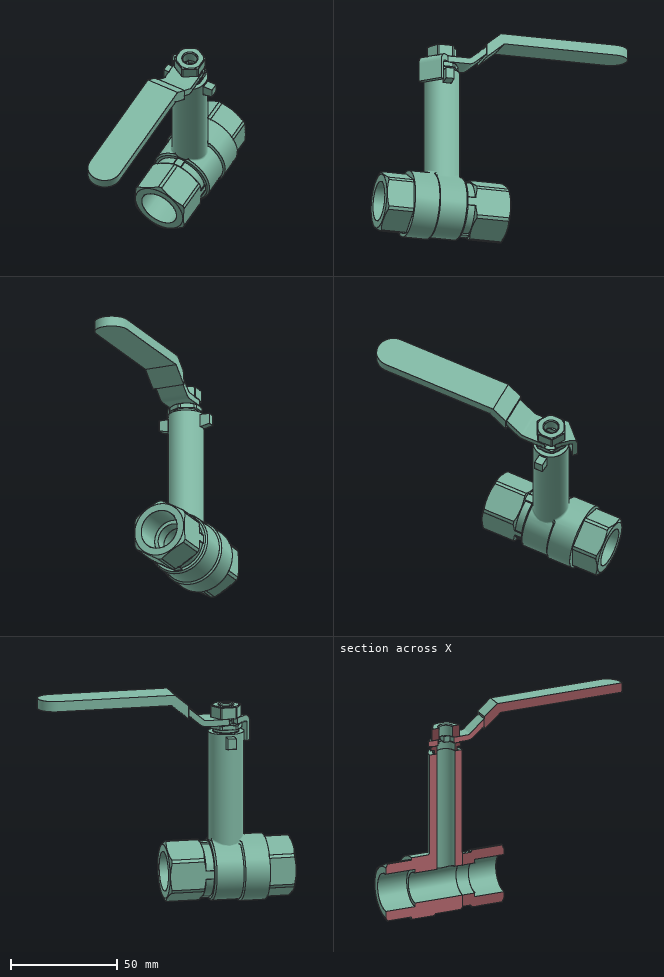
import cadquery as cq
import math


bore_d = 15.0
thread_d = 18.63
thread_depth = 15.0
hex_flats = 26.0
hex_corner_d = 29.1
hex_face_d = 25.38
hex_chamfer = 0.9

body_end_y = 31.0
collar_back_y = 17.8
collar_front_y = 5.9
barrel_back_y = 5.2
barrel_front_y = -8.6
adapter_hex_y = -12.5
adapter_end_y = -30.0

collar_d = 31.5
barrel_d = 29.7
barrel_chamfer = 0.8
neck_d = 17.0
neck_base_z = 10.0
neck_top_z = 66.2
stem_hole_d = 9.0
neck_fillet = 1.0

lug_span = 26.0
lug_width = 4.0
lug_top_z = 65.1
lug_tip_z = 60.0
lug_root_z = 59.1

key_ring_d = 27.0
key_width = 4.0
key_overlap = 1.5

gland_d = 12.0
gland_foot_d = 12.38
gland_foot_h = 0.3
gland_collar_h = 1.8
gland_flats = 14.0
gland_corner_d = 15.4
gland_hex_h = 2.2
gland_chamfer = 0.4

lever_t = 3.0
lever_width = 14.0
lever_bottom_z = neck_top_z + gland_collar_h + gland_hex_h
lever_top_z = lever_bottom_z + lever_t
lever_bend_y = -11.8
lever_bend_r = 2.0
lever_slope = 40.0
stem_slot_flats = 4.75
stem_slot_d = 8.0

tab_angle = 45.0
tab_left = -5.5
tab_right = 6.5
tab_face = 11.0
tab_bend_r = 4.0
tab_t = 2.4
tab_inner_r = 1.5
tab_bottom_z = 60.4

grip_t = 5.0
grip_width = 16.0
grip_top_z = 86.5
grip_start_y = -19.8
grip_bend_y = -26.5
grip_end_y = -91.01

nut_flats = 13.0
nut_corner_d = 14.6
nut_top_z = 79.0
nut_chamfer = 0.4
nut_thread_d = 6.65
nut_countersink = 0.5


def cylinder_y(diameter, y_from, y_to):
    """Cylinder along the flow axis."""
    plane = cq.Workplane("XZ", origin=(0, y_from, 0))
    return plane.circle(diameter / 2).extrude(y_from - y_to)


def cylinder_z(diameter, z_from, z_to):
    """Cylinder along the stem axis."""
    plane = cq.Workplane("XY", origin=(0, 0, z_from))
    return plane.circle(diameter / 2).extrude(z_to - z_from)


def hexagon(plane, flats, length):
    """Hexagonal bar with two of its corners on the plane's Y axis."""
    corners = plane.transformed(rotate=(0, 0, 90))
    return corners.polygon(6, flats / math.cos(math.pi / 6)).extrude(length)


def hexagon_y(y_from, y_to):
    """Wrench hexagon along the flow axis."""
    return hexagon(cq.Workplane("XZ", origin=(0, y_from, 0)), hex_flats, y_from - y_to)


def profile_y(points):
    """Solid turned about the flow axis from (radius, y) points."""
    return cq.Workplane("XY").polyline(points).close().revolve(360, (0, 0, 0), (0, 1, 0))


def make_lugs():
    tip = lug_span / 2
    root = neck_d / 2
    outline = [
        (-tip, lug_top_z),
        (tip, lug_top_z),
        (tip, lug_tip_z),
        (root, lug_root_z),
        (-root, lug_root_z),
        (-tip, lug_tip_z),
    ]
    return cq.Workplane("XZ").polyline(outline).close().extrude(lug_width / 2, both=True)


def make_body():
    end_trim = profile_y([
        (0, collar_back_y),
        (hex_corner_d / 2, collar_back_y),
        (hex_corner_d / 2, body_end_y - hex_chamfer),
        (hex_face_d / 2, body_end_y),
        (0, body_end_y),
    ])
    hex_end = hexagon_y(body_end_y, collar_back_y).intersect(end_trim)
    barrel = profile_y([
        (0, collar_back_y),
        (collar_d / 2, collar_back_y),
        (collar_d / 2, collar_front_y),
        (barrel_d / 2, barrel_back_y),
        (barrel_d / 2, adapter_end_y),
        (0, adapter_end_y),
    ])
    neck = cylinder_z(neck_d, neck_base_z, neck_top_z)
    body = barrel.union(neck)
    body = body.edges("not(%LINE or %CIRCLE)").fillet(neck_fillet)
    front_waste = profile_y([
        (0, barrel_front_y),
        (barrel_d / 2 - barrel_chamfer, barrel_front_y),
        (barrel_d / 2, barrel_front_y + barrel_chamfer),
        (collar_d, barrel_front_y + barrel_chamfer),
        (collar_d, adapter_end_y),
        (0, adapter_end_y),
    ])
    body = body.cut(front_waste).union(neck)
    body = body.union(hex_end).union(make_lugs())
    body = body.cut(cylinder_y(bore_d, body_end_y, barrel_front_y))
    body = body.cut(cylinder_y(thread_d, body_end_y, body_end_y - thread_depth))
    return body.cut(cylinder_z(stem_hole_d, 0, neck_top_z))


def make_adapter():
    hex_trim = profile_y([
        (0, adapter_hex_y),
        (hex_face_d / 2, adapter_hex_y),
        (hex_corner_d / 2, adapter_hex_y - hex_chamfer),
        (hex_corner_d / 2, adapter_end_y + hex_chamfer),
        (hex_face_d / 2, adapter_end_y),
        (0, adapter_end_y),
    ])
    adapter = hexagon_y(adapter_hex_y, adapter_end_y).intersect(hex_trim)
    keys_end_y = adapter_hex_y - key_overlap
    key_length = barrel_front_y - keys_end_y
    key_plane = cq.Workplane("XZ", origin=(0, barrel_front_y, 0))
    cross = key_plane.rect(hex_flats, key_width).extrude(key_length)
    cross = cross.union(key_plane.rect(key_width, hex_flats + key_width).extrude(key_length))
    keys = cylinder_y(key_ring_d, barrel_front_y, keys_end_y).intersect(cross)
    ring = cylinder_y(hex_face_d, barrel_front_y, adapter_hex_y)
    adapter = adapter.union(ring.union(keys))
    adapter = adapter.cut(cylinder_y(bore_d, barrel_front_y, adapter_end_y))
    return adapter.cut(cylinder_y(thread_d, adapter_end_y + thread_depth, adapter_end_y))


def make_gland():
    hex_z = neck_top_z + gland_collar_h
    bar = hexagon(cq.Workplane("XY", origin=(0, 0, hex_z)), gland_flats, gland_hex_h)
    trim = cylinder_z(gland_corner_d, hex_z, lever_bottom_z).faces(">Z").chamfer(
        gland_chamfer, (gland_corner_d - gland_flats) / 2
    )
    collar = cylinder_z(gland_d, neck_top_z, hex_z)
    foot = cylinder_z(gland_foot_d, neck_top_z, neck_top_z + gland_foot_h)
    gland = bar.intersect(trim).union(collar).union(foot)
    return gland.cut(cylinder_z(stem_hole_d, neck_top_z, lever_bottom_z))


def fillet_bend(strip, y, z, radius):
    """Round the bend edge that crosses the strip at the given y and z."""
    return strip.edges(cq.selectors.NearestToPointSelector((0, y, z))).fillet(radius)


def make_lever_strip():
    slope = math.radians(lever_slope)
    corner_shift = lever_t * math.tan(slope / 2)
    rise = (lever_bend_y - grip_start_y) * math.tan(slope)
    outline = [
        (0, lever_top_z),
        (lever_bend_y, lever_top_z),
        (grip_start_y, lever_top_z + rise),
        (grip_start_y, lever_top_z + rise - lever_t / math.cos(slope)),
        (lever_bend_y - corner_shift, lever_bottom_z),
        (0, lever_bottom_z),
    ]
    strip = cq.Workplane("YZ").polyline(outline).close().extrude(lever_width / 2, both=True)
    strip = fillet_bend(strip, lever_bend_y, lever_top_z, lever_bend_r)
    return fillet_bend(strip, lever_bend_y - corner_shift, lever_bottom_z, lever_bend_r + lever_t)


def make_stop_tab():
    """Strip that leaves the stem axis sideways and bends down beside the neck."""
    tab_inner = tab_face - tab_t
    return (
        cq.Workplane("XZ", origin=(0, -tab_left, 0))
        .moveTo(0, lever_bottom_z)
        .lineTo(0, lever_top_z)
        .lineTo(tab_face - tab_bend_r, lever_top_z)
        .radiusArc((tab_face, lever_top_z - tab_bend_r), tab_bend_r)
        .lineTo(tab_face, tab_bottom_z)
        .lineTo(tab_inner, tab_bottom_z)
        .lineTo(tab_inner, lever_bottom_z - tab_inner_r)
        .radiusArc((tab_inner - tab_inner_r, lever_bottom_z), -tab_inner_r)
        .close()
        .extrude(tab_right - tab_left)
        .rotate((0, 0, 0), (0, 0, 1), 180 - tab_angle)
    )


def make_lever():
    lever = make_lever_strip().union(make_stop_tab())
    slot = cylinder_z(stem_slot_d, lever_bottom_z, lever_top_z)
    slot = slot.intersect(cq.Workplane("XY").box(stem_slot_flats, stem_slot_d, 2 * nut_top_z))
    return lever.cut(slot)


def make_grip():
    slope = math.radians(lever_slope)
    drop = (grip_start_y - grip_bend_y) * math.tan(slope)
    corner_shift = grip_t * math.tan(slope / 2)
    outline = [
        (grip_start_y, grip_top_z - drop),
        (grip_bend_y, grip_top_z),
        (grip_end_y, grip_top_z),
        (grip_end_y, grip_top_z - grip_t),
        (grip_bend_y - corner_shift, grip_top_z - grip_t),
        (grip_start_y, grip_top_z - drop - grip_t / math.cos(slope)),
    ]
    grip = cq.Workplane("YZ").polyline(outline).close().extrude(grip_width / 2, both=True)
    end_r = grip_width / 2
    footprint = (
        cq.Workplane("XY")
        .moveTo(end_r, grip_start_y)
        .lineTo(end_r, grip_end_y + end_r)
        .threePointArc((0, grip_end_y), (-end_r, grip_end_y + end_r))
        .lineTo(-end_r, grip_start_y)
        .close()
        .extrude(grip_top_z)
    )
    return grip.intersect(footprint)


def make_nut():
    height = nut_top_z - lever_top_z
    bar = hexagon(cq.Workplane("XY", origin=(0, 0, lever_top_z)), nut_flats, height)
    nut = bar.intersect(cylinder_z(nut_corner_d, lever_top_z, nut_top_z))
    nut = nut.faces(">Z").chamfer(nut_chamfer)
    nut = nut.cut(cylinder_z(nut_thread_d, lever_top_z, nut_top_z))
    return nut.faces(">Z").edges("%CIRCLE").chamfer(nut_countersink)


body = make_body()
adapter = make_adapter()
gland = make_gland()
lever = make_lever()
grip = make_grip()
nut = make_nut()

result = cq.Compound.makeCompound(
    [body.val(), adapter.val(), gland.val(), lever.val(), grip.val(), nut.val()]
)